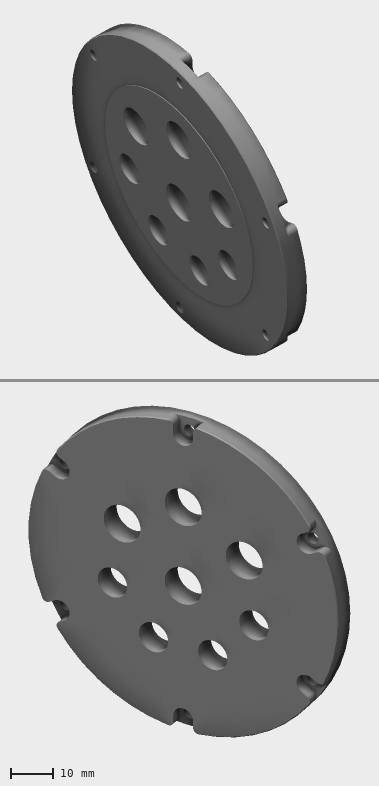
import cadquery as cq
import math


disc_radius = 42.5
total_thickness = 6.0
pad_height = 0.2
pad_radius = 29.0
edge_chamfer = 0.25

screw_count = 6
screw_circle_radius = 39.0
screw_hole_diameter = 3.0
notch_depth = 3.0
notch_half_width = 2.7
mouth_radius = 1.5

large_hole_diameter = 10.0
large_circle_radius = 19.3
large_hole_angles = (30, 90, 150)
center_hole_z = -2.5
small_hole_diameter = 8.0
small_circle_radius = 20.7
small_hole_count = 4
small_hole_spacing = 46.0

front_y = -total_thickness / 2
back_y = total_thickness / 2
disc_front_y = front_y + pad_height
notch_floor_y = back_y - notch_depth

screw_angles = [90 + i * 360 / screw_count for i in range(screw_count)]
first_small_angle = -90 - small_hole_spacing * (small_hole_count - 1) / 2
small_hole_angles = [first_small_angle + i * small_hole_spacing for i in range(small_hole_count)]


def plane_at(y):
    """Workplane parallel to the disc whose normal points toward +Y; local x is -X, local y is Z."""
    return cq.Workplane(cq.Plane(origin=(0, y, 0), xDir=(-1, 0, 0), normal=(0, 1, 0)))


def polar_points(radius, angles):
    return [
        (radius * math.cos(math.radians(angle)), radius * math.sin(math.radians(angle)))
        for angle in angles
    ]


def through_holes(points, diameter):
    return plane_at(front_y).pushPoints(points).circle(diameter / 2).extrude(total_thickness)


def make_disc():
    disc = plane_at(disc_front_y).circle(disc_radius).extrude(back_y - disc_front_y)
    disc = disc.edges().chamfer(edge_chamfer)
    pad = plane_at(front_y).circle(pad_radius).extrude(pad_height)
    return disc.union(pad)


def make_top_notch():
    """U-shaped screw-head pocket at the top of the disc, with its mouth rounded into the rim."""
    round_orbit = disc_radius - mouth_radius
    round_x = notch_half_width + mouth_radius
    round_z = math.sqrt(round_orbit**2 - round_x**2)

    rim_x = round_x * disc_radius / round_orbit
    rim_z = round_z * disc_radius / round_orbit
    rim_direction = math.atan2(round_z, round_x)
    middle_direction = (math.pi + rim_direction) / 2
    middle_x = round_x + mouth_radius * math.cos(middle_direction)
    middle_z = round_z + mouth_radius * math.sin(middle_direction)

    return (
        plane_at(notch_floor_y)
        .moveTo(rim_x, rim_z)
        .threePointArc((middle_x, middle_z), (notch_half_width, round_z))
        .lineTo(notch_half_width, screw_circle_radius)
        .threePointArc((0, screw_circle_radius - notch_half_width), (-notch_half_width, screw_circle_radius))
        .lineTo(-notch_half_width, round_z)
        .threePointArc((-middle_x, middle_z), (-rim_x, rim_z))
        .threePointArc((0, disc_radius), (rim_x, rim_z))
        .close()
        .extrude(notch_depth)
    )


result = make_disc()

top_notch = make_top_notch()
for angle in screw_angles:
    result = result.cut(top_notch.rotate((0, 0, 0), (0, 1, 0), angle - 90))

result = result.cut(through_holes(polar_points(screw_circle_radius, screw_angles), screw_hole_diameter))
result = result.cut(through_holes(polar_points(large_circle_radius, large_hole_angles), large_hole_diameter))
result = result.cut(through_holes([(0, center_hole_z)], large_hole_diameter))
result = result.cut(through_holes(polar_points(small_circle_radius, small_hole_angles), small_hole_diameter))